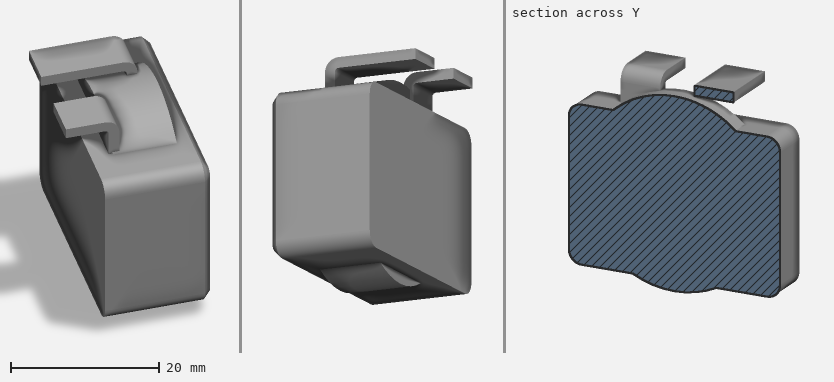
import cadquery as cq

HOUSING_WIDTH = 32.0
HOUSING_DEPTH = 15.0
HOUSING_HEIGHT = 23.0
CORNER_RADIUS = 2.0
BACK_CHAMFER = 1.0

DISC_RADIUS = 14.0
DISC_THICKNESS = 9.0
DISC_CENTER_Z = 1.0

TERMINAL_WIDTH = 6.0
TERMINAL_THICKNESS = 1.5
TERMINAL_SPACING = 12.0
TERMINAL_RISE = 5.5
TERMINAL_OVERHANG = 3.5
BEND_INNER_RADIUS = 0.5
LEFT_LEG_BACK_Y = 2.5
RIGHT_LEG_BACK_Y = -3.5

HOUSING_TOP_Z = HOUSING_HEIGHT / 2
TERMINAL_TOP_Z = HOUSING_TOP_Z + TERMINAL_RISE
TERMINAL_FRONT_Y = -HOUSING_DEPTH / 2 - TERMINAL_OVERHANG
BEND_OUTER_RADIUS = BEND_INNER_RADIUS + TERMINAL_THICKNESS


def make_housing():
    block = cq.Workplane("XY").box(HOUSING_WIDTH, HOUSING_DEPTH, HOUSING_HEIGHT)
    rounded = block.edges("|Y").fillet(CORNER_RADIUS)
    return rounded.faces(">Y").chamfer(BACK_CHAMFER)


def make_disc():
    return (
        cq.Workplane("XZ")
        .center(0, DISC_CENTER_Z)
        .circle(DISC_RADIUS)
        .extrude(DISC_THICKNESS / 2, both=True)
    )


def make_terminal(center_x, leg_back_y):
    """L-shaped strip with a rounded bend; its leg starts at the housing top."""
    leg_front_y = leg_back_y - TERMINAL_THICKNESS
    underside_z = TERMINAL_TOP_Z - TERMINAL_THICKNESS
    bend_y = leg_back_y - BEND_OUTER_RADIUS
    bend_z = TERMINAL_TOP_Z - BEND_OUTER_RADIUS
    return (
        cq.Workplane("YZ", origin=(center_x, 0, 0))
        .moveTo(leg_front_y, HOUSING_TOP_Z)
        .lineTo(leg_back_y, HOUSING_TOP_Z)
        .lineTo(leg_back_y, bend_z)
        .radiusArc((bend_y, TERMINAL_TOP_Z), -BEND_OUTER_RADIUS)
        .lineTo(TERMINAL_FRONT_Y, TERMINAL_TOP_Z)
        .lineTo(TERMINAL_FRONT_Y, underside_z)
        .lineTo(bend_y, underside_z)
        .radiusArc((leg_front_y, bend_z), BEND_INNER_RADIUS)
        .close()
        .extrude(TERMINAL_WIDTH / 2, both=True)
    )


left_terminal = make_terminal(-TERMINAL_SPACING / 2, LEFT_LEG_BACK_Y)
right_terminal = make_terminal(TERMINAL_SPACING / 2, RIGHT_LEG_BACK_Y)

result = make_housing().union(make_disc()).union(left_terminal).union(right_terminal)